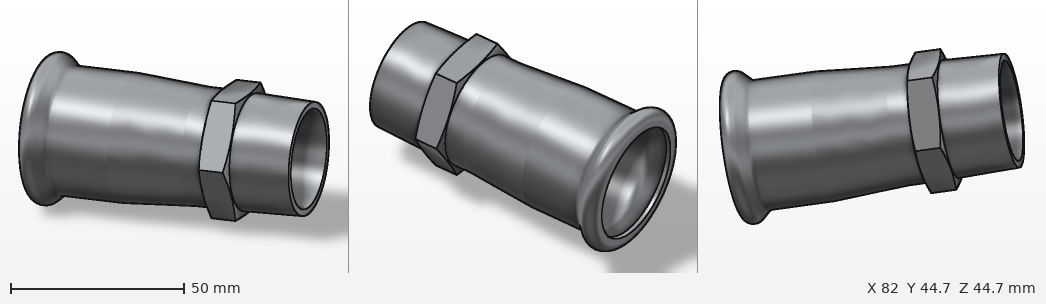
import cadquery as cq
import math

length = 82.0
bead_center_x = 2.9
socket_start = 8.4
taper_start = 26.9
taper_end = 49.0
hex_start = 55.1
hex_end = 64.0

bead_radius = 2.9
rim_radius = 44.7 / 2 - bead_radius
body_radius = 38.0 / 2
collar_radius = 34.8 / 2
spigot_root_radius = 17.2
spigot_end_radius = 16.65
bore_inlet_radius = 14.9
bore_outlet_radius = 14.7
wall = 1.52
socket_radius = body_radius - wall

slope = math.radians(45)
blend_radius = 1.7

hex_corner_radius = 20.7
hex_flat_radius = hex_corner_radius * math.cos(math.pi / 6)
hex_chamfer_angle = math.radians(15)
hex_chamfer = (hex_corner_radius - hex_flat_radius) * math.tan(hex_chamfer_angle)


def revolve_about_x(profile):
    return profile.close().revolve(360, (0, 0, 0), (1, 0, 0))


def bead_profile(profile, crest_radius, tube_radius, blend):
    """Draw the bead from its rim-side crest start to the straight tube."""
    crest_end = (
        bead_center_x + crest_radius * math.sin(slope),
        rim_radius + crest_radius * math.cos(slope),
    )
    blend_start = (
        socket_start - blend * math.sin(slope),
        tube_radius + blend * (1 - math.cos(slope)),
    )
    blend_middle = (
        socket_start - blend * math.sin(slope / 2),
        tube_radius + blend * (1 - math.cos(slope / 2)),
    )
    return (
        profile
        .threePointArc(
            (
                bead_center_x - crest_radius * math.sin(slope / 2),
                rim_radius + crest_radius * math.cos(slope / 2),
            ),
            crest_end,
        )
        .lineTo(*blend_start)
        .threePointArc(blend_middle, (socket_start, tube_radius))
    )


def outer_body():
    profile = cq.Workplane("XY").lineTo(0, rim_radius)
    profile = bead_profile(profile, bead_radius, body_radius, blend_radius)
    profile = (
        profile
        .lineTo(taper_start, body_radius)
        .lineTo(taper_end, collar_radius)
        .lineTo(hex_end, collar_radius)
        .lineTo(hex_end, spigot_root_radius)
        .lineTo(length, spigot_end_radius)
        .lineTo(length, 0)
    )
    return revolve_about_x(profile)


def inner_passage():
    """Socket with a seal groove inside the bead, a stop shoulder and a slightly tapered bore."""
    groove_crest_radius = bead_radius - wall
    groove_start = bead_center_x - groove_crest_radius
    profile = (
        cq.Workplane("XY")
        .lineTo(0, socket_radius)
        .lineTo(groove_start, socket_radius)
        .lineTo(groove_start, rim_radius)
    )
    profile = bead_profile(profile, groove_crest_radius, socket_radius, blend_radius + wall)
    profile = (
        profile
        .lineTo(taper_start, socket_radius)
        .lineTo(taper_start, bore_inlet_radius)
        .lineTo(length, bore_outlet_radius)
        .lineTo(length, 0)
    )
    return revolve_about_x(profile)


def hexagon():
    prism = (
        cq.Workplane("YZ", origin=(hex_start, 0, 0))
        .polygon(6, 2 * hex_corner_radius)
        .extrude(hex_end - hex_start)
    )
    envelope = revolve_about_x(
        cq.Workplane("XY")
        .moveTo(hex_start, 0)
        .lineTo(hex_start, hex_flat_radius)
        .lineTo(hex_start + hex_chamfer, hex_corner_radius)
        .lineTo(hex_end - hex_chamfer, hex_corner_radius)
        .lineTo(hex_end, hex_flat_radius)
        .lineTo(hex_end, 0)
    )
    return prism.intersect(envelope)


result = outer_body().union(hexagon()).cut(inner_passage())